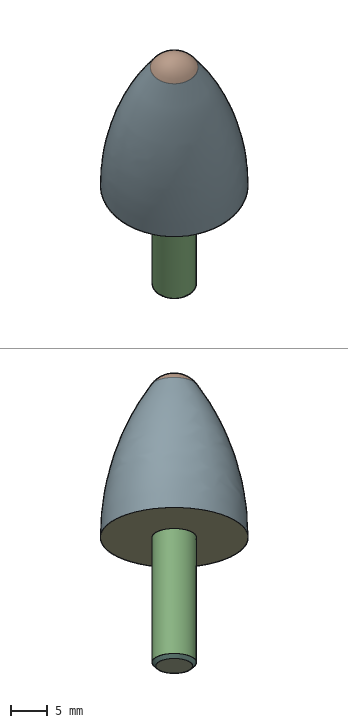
import cadquery as cq
import math

total_height = 43.0
head_height = 24.0
head_radius = 9.998
flank_radius = 40.0
tip_radius = 3.22
stem_radius = 3.0
stem_chamfer = 0.5

head_base = total_height - head_height


def flank_point(radius):
    """Point of the flank arc at the given distance from the axis."""
    center_x = head_radius - flank_radius
    rise = math.sqrt(flank_radius**2 - (radius - center_x) ** 2)
    return radius, head_base + rise


def make_head():
    """Bullet-shaped head with a spherical cap on its tip."""
    flank_middle = flank_point((head_radius + tip_radius) / 2)
    flank_end = flank_point(tip_radius)
    cap_height = total_height - flank_end[1]
    cap_radius = (tip_radius**2 + cap_height**2) / (2 * cap_height)
    cap_half_angle = math.asin(tip_radius / cap_radius) / 2
    cap_middle = (
        cap_radius * math.sin(cap_half_angle),
        total_height - cap_radius * (1 - math.cos(cap_half_angle)),
    )
    profile = (
        cq.Workplane("XZ")
        .moveTo(0, head_base)
        .lineTo(head_radius, head_base)
        .threePointArc(flank_middle, flank_end)
        .threePointArc(cap_middle, (0, total_height))
        .close()
    )
    return profile.revolve(360, (0, 0, 0), (0, 1, 0))


def make_stem():
    """Round stem with a chamfered lower end."""
    return cq.Workplane("XY").circle(stem_radius).extrude(head_base).faces("<Z").chamfer(stem_chamfer)


result = make_head().union(make_stem())